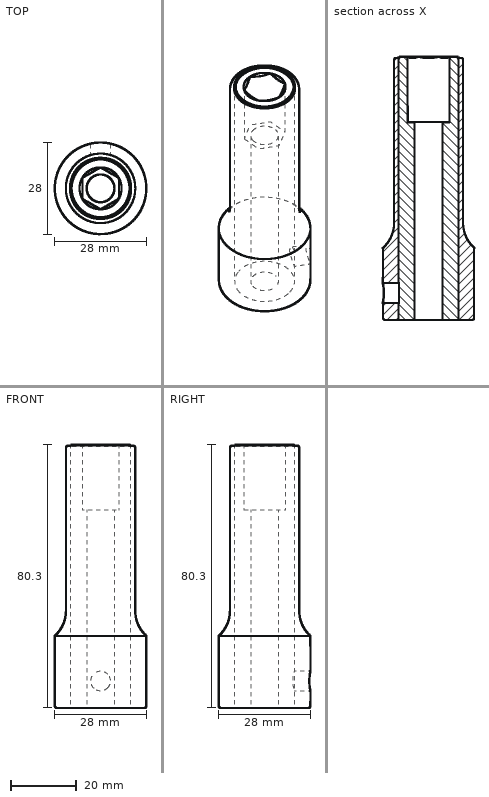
import cadquery as cq
import math

jacket_height = 80.0
core_proud = 0.3
core_height = jacket_height + core_proud

grip_radius = 14.0
grip_height = 22.0
grip_edge_fillet = 0.7
shank_radius = 10.6
flare_top = 29.6
rim_fillet = 0.75
mouth_chamfer = 0.25

core_radius = 9.1
core_edge_chamfer = core_proud
bore_diameter = 8.4
hex_across_flats = 11.1
hex_corner_radius = hex_across_flats / math.sqrt(3)
hex_corner_fillet = 0.5
hex_depth = 20.0
lead_in_angle = 30.0

side_hole_diameter = 6.0
side_hole_height = 8.25

AXIS_START = (0, 0, 0)
AXIS_END = (0, 1, 0)


def make_jacket():
    flare_rise = flare_top - grip_height
    flare_spread = grip_radius - shank_radius
    flare_radius = (flare_rise**2 + flare_spread**2) / (2 * flare_spread)
    half_sweep = math.asin(flare_rise / flare_radius) / 2
    flare_mid = (
        shank_radius + flare_radius * (1 - math.cos(half_sweep)),
        flare_top - flare_radius * math.sin(half_sweep),
    )
    profile = (
        cq.Workplane("XZ")
        .moveTo(core_radius, 0)
        .lineTo(grip_radius, 0)
        .lineTo(grip_radius, grip_height)
        .threePointArc(flare_mid, (shank_radius, flare_top))
        .lineTo(shank_radius, jacket_height)
        .lineTo(core_radius + mouth_chamfer, jacket_height)
        .lineTo(core_radius, jacket_height - mouth_chamfer)
        .close()
    )
    jacket = profile.revolve(360, AXIS_START, AXIS_END)
    outermost = cq.selectors.RadiusNthSelector(-1)
    jacket = jacket.faces("<Z").edges(outermost).fillet(grip_edge_fillet)
    jacket = jacket.faces(">Z").edges(outermost).fillet(rim_fillet)
    return jacket.cut(make_side_hole())


def make_side_hole():
    return (
        cq.Workplane("XZ", origin=(0, 0, side_hole_height))
        .circle(side_hole_diameter / 2)
        .extrude(-grip_radius)
    )


def make_core():
    core = cq.Workplane("XY").circle(core_radius).extrude(core_height)
    core = core.faces(">Z").edges().chamfer(core_edge_chamfer)
    bore = cq.Workplane("XY").circle(bore_diameter / 2).extrude(core_height)
    return core.cut(bore).cut(make_hex_recess()).cut(make_lead_in())


def make_hex_recess():
    return (
        cq.Workplane("XY", origin=(0, 0, core_height - hex_depth))
        .transformed(rotate=(0, 0, 90))
        .polygon(6, 2 * hex_corner_radius)
        .extrude(hex_depth)
        .edges("|Z")
        .fillet(hex_corner_fillet)
    )


def make_lead_in():
    cone_depth = hex_corner_radius * math.tan(math.radians(lead_in_angle))
    return (
        cq.Workplane("XZ")
        .moveTo(0, core_height)
        .lineTo(hex_corner_radius, core_height)
        .lineTo(0, core_height - cone_depth)
        .close()
        .revolve(360, AXIS_START, AXIS_END)
    )


jacket = make_jacket()
core = make_core()
result = cq.Compound.makeCompound([jacket.val(), core.val()])